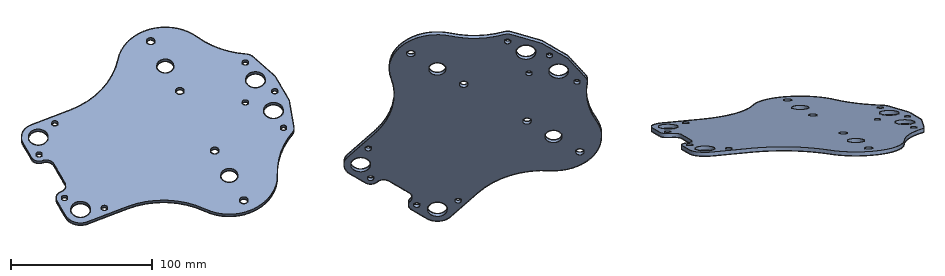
import cadquery as cq
import math

length = 186.0
width = 174.0
thickness = 3.0

lobe_radius = 34.0
lobe_x = width / 2 - lobe_radius
lobe_y = 119.6

tail_half_width = 46.9
corner_radius = 11.9
notch_half_width = 15.0
notch_depth = 11.9
notch_fillet = notch_depth / 2

nose_half_width = 11.7
shoulder_x = 31.6
shoulder_y = 172.0
shoulder_radius = 7.5

waist_radius = 59.9

screw_diameter = 4.5
mount_diameter = 6.0
pivot_diameter = 12.0
cable_diameter = 14.0
outer_mount_x = 77.0
inner_mount_x = 2 * lobe_x - outer_mount_x
nose_cable_x = 14.9
nose_screw_ys = (157.2, 180.0)
tail_screw_x = 41.0
tail_screw_y = 27.7

lobe_center = (lobe_x, lobe_y)
shoulder_center = (shoulder_x, shoulder_y)
foot_center = (notch_half_width + notch_fillet, notch_fillet)
corner_center = (tail_half_width - corner_radius, corner_radius)


def toward(start, end, distance):
    """Point at a distance from start on the ray through end."""
    ratio = distance / math.dist(start, end)
    return (start[0] + ratio * (end[0] - start[0]), start[1] + ratio * (end[1] - start[1]))


def on_circle(center, radius, angle):
    """Point on a circle at an angle in radians."""
    return (center[0] + radius * math.cos(angle), center[1] + radius * math.sin(angle))


def direction(start, end):
    """Angle in radians of the ray from start through end."""
    return math.atan2(end[1] - start[1], end[0] - start[0])


def arc_to(outline, center, radius, start, end):
    """Add the shorter arc about center from start to end."""
    middle = ((start[0] + end[0]) / 2, (start[1] + end[1]) / 2)
    return outline.threePointArc(toward(center, middle, radius), end)


waist_reach = lobe_radius + waist_radius
rear_waist_x = tail_half_width + waist_radius
rear_waist_y = lobe_y - math.sqrt(waist_reach**2 - (rear_waist_x - lobe_x) ** 2)
rear_waist_center = (rear_waist_x, rear_waist_y)
tail_top = (tail_half_width, rear_waist_y)
lobe_rear = toward(lobe_center, rear_waist_center, lobe_radius)

shoulder_reach = shoulder_radius + waist_radius
span = math.dist(lobe_center, shoulder_center)
lobe_cosine = (waist_reach**2 + span**2 - shoulder_reach**2) / (2 * waist_reach * span)
front_angle = direction(lobe_center, shoulder_center) - math.acos(lobe_cosine)
front_waist_center = on_circle(lobe_center, waist_reach, front_angle)
lobe_front = toward(lobe_center, front_waist_center, lobe_radius)
shoulder_outer = toward(shoulder_center, front_waist_center, shoulder_radius)

nose_corner = (nose_half_width, length)
nose_distance = math.dist(shoulder_center, nose_corner)
tangent_angle = direction(shoulder_center, nose_corner) - math.acos(shoulder_radius / nose_distance)
shoulder_front = on_circle(shoulder_center, shoulder_radius, tangent_angle)


def half_plate():
    """The +X half of the plate, without holes."""
    notch_center = (notch_half_width - notch_fillet, notch_depth - notch_fillet)
    notch_start = (notch_center[0], notch_depth)
    notch_side = (notch_half_width, notch_fillet)
    foot_start = (foot_center[0], 0)
    corner_start = (corner_center[0], 0)
    corner_end = (tail_half_width, corner_radius)
    outline = cq.Workplane("XY").moveTo(0, notch_depth).lineTo(*notch_start)
    outline = arc_to(outline, notch_center, notch_fillet, notch_start, notch_side)
    outline = arc_to(outline, foot_center, notch_fillet, notch_side, foot_start)
    outline = outline.lineTo(*corner_start)
    outline = arc_to(outline, corner_center, corner_radius, corner_start, corner_end)
    outline = outline.lineTo(*tail_top)
    outline = arc_to(outline, rear_waist_center, waist_radius, tail_top, lobe_rear)
    outline = arc_to(outline, lobe_center, lobe_radius, lobe_rear, lobe_front)
    outline = arc_to(outline, front_waist_center, waist_radius, lobe_front, shoulder_outer)
    outline = arc_to(outline, shoulder_center, shoulder_radius, shoulder_outer, shoulder_front)
    outline = outline.lineTo(*nose_corner).lineTo(0, length)
    return outline.close().extrude(thickness)


def both_sides(points):
    """The points together with their mirror images across X = 0."""
    return [(side * x, y) for x, y in points for side in (1, -1)]


def drill(plate, points, diameter):
    """Cut through holes of one diameter."""
    holes = cq.Workplane("XY").pushPoints(points).circle(diameter / 2).extrude(thickness)
    return plate.cut(holes)


half = half_plate()
plate = half.union(half.mirror("YZ")).clean()

screw_points = both_sides([shoulder_center, foot_center, (tail_screw_x, tail_screw_y)])
screw_points += [(0, y) for y in nose_screw_ys]
plate = drill(plate, screw_points, screw_diameter)
plate = drill(plate, both_sides([(outer_mount_x, lobe_y), (inner_mount_x, lobe_y)]), mount_diameter)
plate = drill(plate, both_sides([lobe_center]), pivot_diameter)
plate = drill(plate, both_sides([corner_center, (nose_cable_x, shoulder_y)]), cable_diameter)

result = plate